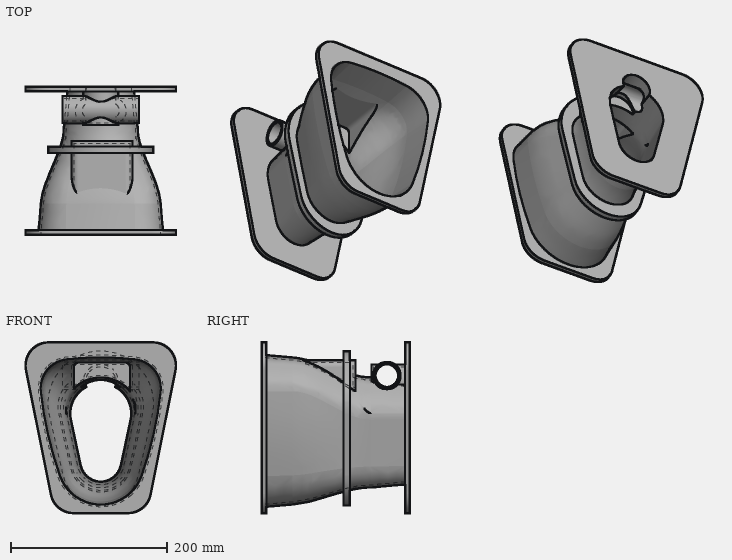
import cadquery as cq
import math


length = 190.0
wall = 3.5
draft = math.tan(math.radians(5.0))

plate_thickness = 6.0
plate_height = 219.2
plate_corner_radius = 30.0
plate_top_width = 206.18
plate_bottom_width = 118.4

transition_start = 40.0
transition_end = 140.5
transition_steps = 6

mouth_outline = (199.8, 39.5, 160.0, 37.5, 66.7, 55.5, 480.0)
throat_outline = (174.5, 6.0, 127.7, 40.8, 66.8, 34.0, 5000.0)

flange_start = 104.8
flange_thickness = 8.2
flange_outline = (208.0, 6.0, 140.6, 61.6, 59.2, 49.3, 5000.0)

block_wall = 3.0
block_width = 78.0
block_center_x = 1.6
block_top = 196.2
block_bottom = 155.0
block_rear = 120.3
block_corner_radius = 9.0

pipe_length = 98.0
pipe_outer_radius = 17.5
pipe_inner_radius = 14.5
pipe_y = 160.5
pipe_z = 176.4
boss_outer_radius = 22.5
boss_wall = 3.0
boss_center_z = 168.2


def outline_offset(outline, distance):
    """Outline moved outward by distance (inward if negative); the arc centres stay in place."""
    top, corner_x, corner_z, corner_radius, bottom_z, bottom_radius, side_radius = outline
    return (
        top + distance,
        corner_x,
        corner_z,
        corner_radius + distance,
        bottom_z,
        bottom_radius + distance,
        side_radius + distance,
    )


def outline_between(fraction):
    """Outline of the transition: an S-shaped blend that leaves the mouth at its taper and ends level."""
    blend = fraction**2 * (3.0 - 2.0 * fraction)
    sizes = [m + (t - m) * blend for m, t in zip(mouth_outline[:-1], throat_outline[:-1])]
    mouth_curvature = 1.0 / mouth_outline[-1]
    throat_curvature = 1.0 / throat_outline[-1]
    side_radius = 1.0 / (mouth_curvature + (throat_curvature - mouth_curvature) * blend)
    taper_inset = draft * (transition_end - transition_start) * fraction * (1.0 - fraction) ** 2
    return outline_offset((*sizes, side_radius), -taper_inset)


def rounded_wire(y, top, corner_x, corner_z, corner_radius, bottom_z, bottom_radius, side_radius):
    """Closed outline at Y = y: crowned top, two corner arcs, two bowed sides, round bottom.

    Neighbouring arcs are tangent, so each joint lies on the line through their two centres.
    """
    rise = top - corner_radius
    crown_z = (rise**2 - corner_x**2 - corner_z**2) / (2.0 * (rise - corner_z))
    crown_angle = math.atan2(corner_z - crown_z, corner_x)

    to_corner = side_radius - corner_radius
    to_bottom = side_radius - bottom_radius
    center_distance = math.hypot(corner_x, corner_z - bottom_z)
    center_angle = math.atan2(corner_z - bottom_z, corner_x)
    triangle_cosine = (to_bottom**2 + center_distance**2 - to_corner**2) / (2.0 * to_bottom * center_distance)
    bottom_angle = center_angle + math.acos(triangle_cosine) - math.pi
    side_x = -to_bottom * math.cos(bottom_angle)
    side_z = bottom_z - to_bottom * math.sin(bottom_angle)
    side_angle = math.atan2(corner_z - side_z, corner_x - side_x)

    def on_circle(side, center_x, center_z, radius, angle):
        x = center_x + radius * math.cos(angle)
        return cq.Vector(side * x, y, center_z + radius * math.sin(angle))

    def crown_joint(side):
        return on_circle(side, corner_x, corner_z, corner_radius, crown_angle)

    def side_joint(side):
        return on_circle(side, corner_x, corner_z, corner_radius, side_angle)

    def bottom_joint(side):
        return on_circle(side, 0.0, bottom_z, bottom_radius, bottom_angle)

    def corner_middle(side):
        return on_circle(side, corner_x, corner_z, corner_radius, (crown_angle + side_angle) / 2.0)

    def side_middle(side):
        return on_circle(side, side_x, side_z, side_radius, (side_angle + bottom_angle) / 2.0)

    top_middle = cq.Vector(0, y, top)
    bottom_middle = cq.Vector(0, y, bottom_z - bottom_radius)
    arc = cq.Edge.makeThreePointArc
    edges = [
        arc(crown_joint(-1), top_middle, crown_joint(1)),
        arc(crown_joint(1), corner_middle(1), side_joint(1)),
        arc(side_joint(1), side_middle(1), bottom_joint(1)),
        arc(bottom_joint(1), bottom_middle, bottom_joint(-1)),
        arc(bottom_joint(-1), side_middle(-1), side_joint(-1)),
        arc(side_joint(-1), corner_middle(-1), crown_joint(-1)),
    ]
    return cq.Wire.assembleEdges(edges)


def duct_body(inset, start, end):
    """Solid bounded by the duct's outer surface moved inward by inset, from Y = start to end."""
    mouth = outline_offset(mouth_outline, -inset)
    throat = outline_offset(throat_outline, -inset)
    mouth_front = outline_offset(mouth, draft * (transition_start - start))
    throat_rear = outline_offset(throat, -draft * (end - transition_end))

    transition_wires = []
    for step in range(transition_steps + 1):
        fraction = step / transition_steps
        y = transition_start + (transition_end - transition_start) * fraction
        transition_wires.append(rounded_wire(y, *outline_offset(outline_between(fraction), -inset)))

    front = cq.Solid.makeLoft([rounded_wire(start, *mouth_front), transition_wires[0]], True)
    middle = cq.Solid.makeLoft(transition_wires, False)
    rear = cq.Solid.makeLoft([transition_wires[-1], rounded_wire(end, *throat_rear)], True)
    return cq.Workplane(front).union(cq.Workplane(middle)).union(cq.Workplane(rear))


def xz_plane(y):
    """Workplane at Y = y whose local axes are X and Z; positive extrusion runs toward -Y."""
    return cq.Workplane("XZ", origin=(0, y, 0))


def end_plate(start):
    corners = [
        (-plate_bottom_width / 2.0, 0.0),
        (plate_bottom_width / 2.0, 0.0),
        (plate_top_width / 2.0, plate_height),
        (-plate_top_width / 2.0, plate_height),
    ]
    plate = xz_plane(start + plate_thickness).polyline(corners).close().extrude(plate_thickness)
    return plate.edges("|Y").fillet(plate_corner_radius)


def middle_flange():
    wire = rounded_wire(flange_start, *flange_outline)
    return cq.Workplane(cq.Solid.extrudeLinear(wire, [], cq.Vector(0, flange_thickness, 0)))


def block(inset):
    """Block with rounded upper edges, inset from its outer faces on the sides, top and rear."""
    rear = block_rear - inset
    top = block_top - inset
    return (
        xz_plane(rear)
        .center(block_center_x, (top + block_bottom) / 2.0)
        .rect(block_width - 2.0 * inset, top - block_bottom)
        .extrude(rear - transition_start)
        .edges("|Y and >Z")
        .fillet(block_corner_radius - inset)
    )


def pipe(radius):
    return cq.Workplane("YZ", origin=(-pipe_length / 2.0, pipe_y, pipe_z)).circle(radius).extrude(pipe_length)


def boss(radius, start, end):
    return xz_plane(end).center(0, boss_center_z).circle(radius).extrude(end - start)


outside = (
    duct_body(0.0, plate_thickness, length - plate_thickness)
    .union(end_plate(0.0))
    .union(end_plate(length - plate_thickness))
    .union(middle_flange())
    .union(block(0.0))
    .union(boss(boss_outer_radius, transition_end, length - plate_thickness))
    .union(pipe(pipe_outer_radius))
)

result = (
    outside.cut(duct_body(wall, 0.0, length))
    .cut(block(block_wall))
    .cut(boss(boss_outer_radius - boss_wall, transition_end + boss_wall, length))
    .cut(pipe(pipe_inner_radius))
)